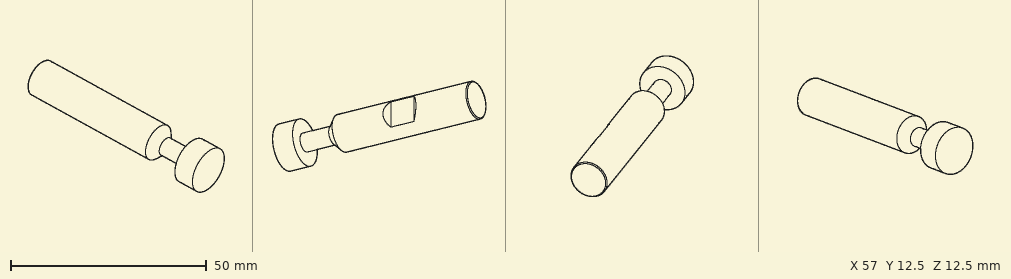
import cadquery as cq

total_length = 57.0
head_length = 6.0
head_diameter = 12.5
neck_diameter = 5.0
shank_diameter = 10.0
shank_length = 40.0
end_chamfer = 0.3

notch_center = 20.0
notch_floor_length = 6.85
notch_depth = 1.5

shank_radius = shank_diameter / 2
neck_radius = neck_diameter / 2
head_radius = head_diameter / 2
cone_length = shank_radius - neck_radius
head_start = total_length - head_length


def make_pin():
    """Revolve the shank, cone, neck and head about the X axis."""
    half_profile = [
        (0, 0),
        (0, shank_radius - end_chamfer),
        (end_chamfer, shank_radius),
        (shank_length, shank_radius),
        (shank_length + cone_length, neck_radius),
        (head_start, neck_radius),
        (head_start, head_radius),
        (total_length, head_radius),
        (total_length, 0),
    ]
    return cq.Workplane("XY").polyline(half_profile).close().revolve(360, (0, 0, 0), (1, 0, 0))


def make_notch():
    """Trapezoidal cutter that runs across the shank along Z."""
    half_floor = notch_floor_length / 2
    half_opening = half_floor + notch_depth
    floor_y = shank_radius - notch_depth
    outline = [
        (notch_center - half_floor, floor_y),
        (notch_center + half_floor, floor_y),
        (notch_center + half_opening, shank_radius),
        (notch_center - half_opening, shank_radius),
    ]
    return cq.Workplane("XY").polyline(outline).close().extrude(shank_radius, both=True)


result = make_pin().cut(make_notch())